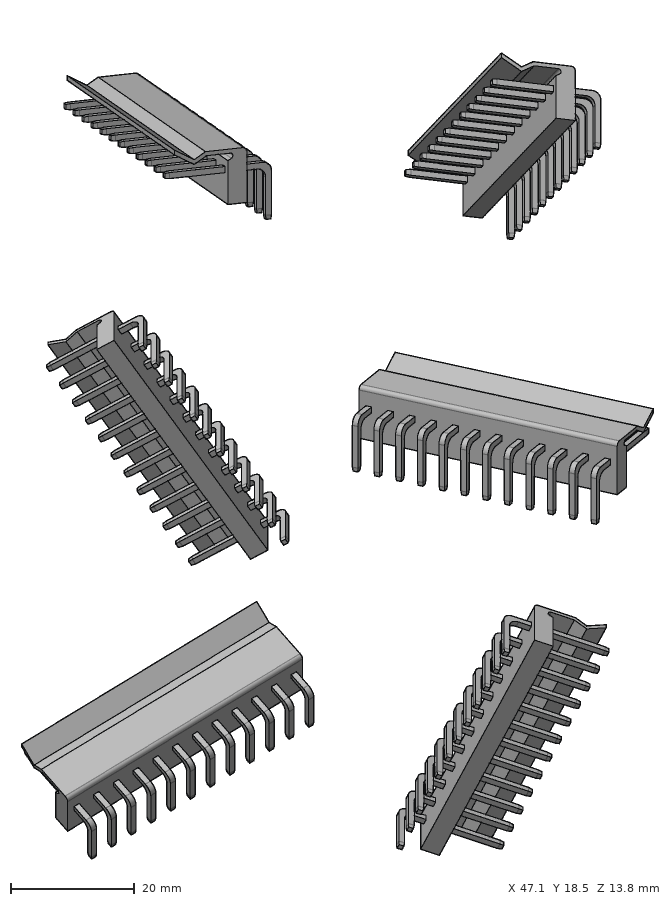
import cadquery as cq
import math


length = 47.1
wall_depth = 3.3
wall_height = 9.35
rear_edge_radius = 0.7
latch_thickness = 0.7
latch_angle = math.radians(30)
latch_bend_y = -7.2
latch_valley_y = -9.2
latch_end_y = -12.65
throat_radius = 0.45
throat_centre_y = -2.9

pin_count = 12
pin_pitch = 3.95
pin_size = 1.05
pin_axis_z = 5.55
pin_rear_y = 4.8
pin_front_y = -13.7
pin_foot_z = -3.65
bend_radius = 1.5
tip_length = 0.75
tip_size = 0.85


def make_housing():
    """Wall with a latch arm that bends down and then up, both at the latch angle."""
    slope = math.tan(latch_angle)
    valley_z = wall_height - (latch_bend_y - latch_valley_y) * slope
    end_z = valley_z + (latch_valley_y - latch_end_y) * slope

    sloped_drop = latch_thickness / math.cos(latch_angle)
    underside_z = wall_height - latch_thickness
    under_bend_y = latch_bend_y + latch_thickness * math.tan(latch_angle / 2)

    throat_centre_z = underside_z - throat_radius
    ramp_start_y = throat_centre_y + throat_radius * math.sin(latch_angle)
    ramp_start_z = throat_centre_z - throat_radius * math.cos(latch_angle)
    ramp_end_z = ramp_start_z - (ramp_start_y + wall_depth) * slope

    profile = (
        cq.Workplane("YZ", origin=(-length / 2, 0, 0))
        .moveTo(0, 0)
        .lineTo(0, wall_height - rear_edge_radius)
        .radiusArc((-rear_edge_radius, wall_height), -rear_edge_radius)
        .lineTo(latch_bend_y, wall_height)
        .lineTo(latch_valley_y, valley_z)
        .lineTo(latch_end_y, end_z)
        .lineTo(latch_end_y, end_z - sloped_drop)
        .lineTo(latch_valley_y, valley_z - sloped_drop)
        .lineTo(under_bend_y, underside_z)
        .lineTo(throat_centre_y, underside_z)
        .threePointArc(
            (throat_centre_y + throat_radius, throat_centre_z),
            (ramp_start_y, ramp_start_z),
        )
        .lineTo(-wall_depth, ramp_end_z)
        .lineTo(-wall_depth, 0)
        .close()
    )
    return profile.extrude(length)


def make_pin():
    """Square pin bent down behind the housing, with a tapered tip at each end."""
    half = pin_size / 2
    top_z = pin_axis_z + half
    bottom_z = pin_axis_z - half
    inner_y = pin_rear_y - pin_size
    shank_front_y = pin_front_y + tip_length
    shank_foot_z = pin_foot_z + tip_length
    taper_angle = math.degrees(math.atan((pin_size - tip_size) / 2 / tip_length))

    shank = (
        cq.Workplane("YZ", origin=(-half, 0, 0))
        .moveTo(shank_front_y, top_z)
        .lineTo(pin_rear_y - bend_radius, top_z)
        .radiusArc((pin_rear_y, top_z - bend_radius), bend_radius)
        .lineTo(pin_rear_y, shank_foot_z)
        .lineTo(inner_y, shank_foot_z)
        .lineTo(inner_y, bottom_z - bend_radius)
        .radiusArc((inner_y - bend_radius, bottom_z), -bend_radius)
        .lineTo(shank_front_y, bottom_z)
        .close()
        .extrude(pin_size)
    )
    front_tip = (
        cq.Workplane("XZ", origin=(0, shank_front_y, pin_axis_z))
        .rect(pin_size, pin_size)
        .extrude(tip_length, taper=taper_angle)
    )
    foot_tip = (
        cq.Workplane("XY", origin=(0, pin_rear_y - half, shank_foot_z))
        .rect(pin_size, pin_size)
        .extrude(-tip_length, taper=taper_angle)
    )
    return shank.union(front_tip).union(foot_tip)


result = make_housing()
pin = make_pin()
first_pin_x = -pin_pitch * (pin_count - 1) / 2
for index in range(pin_count):
    result = result.union(pin.translate((first_pin_x + index * pin_pitch, 0, 0)))